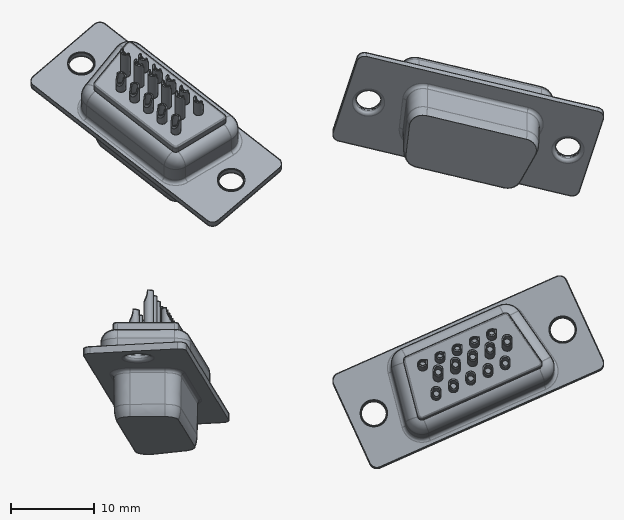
import cadquery as cq
import math


overall_height = 16.5

flange_length = 30.8
flange_width = 12.55
flange_thickness = 0.85
flange_corner_radius = 0.92
hole_spacing = 24.95
hole_diameter = 3.02
hole_underside_radius = 0.43
hole_lip_diameter = 3.3
hole_lip_height = 0.2

side_angle = 10.0
d_corner_radius = 2.0
base_fillet = 0.45

shell_front_flat = 12.9
shell_width = 10.75
shell_height = 4.15
shell_root_depth = flange_thickness / 2
shoulder_radius = 1.48
insert_top = 5.18
insert_edge_radius = 0.2

plug_front_flat = 11.03
plug_width = 8.13
plug_depth = 5.9
nose_height = 1.48
nose_arc_radius = 4.0
nose_steps = 3
plug_draft_angle = 1.0

contact_count = 5
contact_pitch = 2.28
row_pitch = 1.97
contact_diameter = 1.2
cup_bore_diameter = 0.83
cup_bore_depth = 2.0
scoop_radius = 2.28
scoop_wall_offset = 0.05
short_contact_top = 7.8
long_contact_top = overall_height - plug_depth - flange_thickness


def d_outline(front_flat, width, z, inset=0.0):
    """Rounded trapezoid, wider at +Y, drawn at height z and offset inwards by inset."""
    radius = d_corner_radius - inset
    center_y = width / 2 - d_corner_radius
    front_x = front_flat / 2
    rear_x = front_x + 2 * center_y * math.tan(math.radians(side_angle))

    def on_corner(center_x, y, angle):
        turn = math.radians(angle)
        return (center_x + radius * math.cos(turn), y + radius * math.sin(turn))

    def mirrored(point):
        return (-point[0], point[1])

    front_start, front_mid, front_end = [
        on_corner(front_x, -center_y, angle) for angle in (-90, -(90 + side_angle) / 2, -side_angle)
    ]
    rear_start, rear_mid, rear_end = [
        on_corner(rear_x, center_y, angle) for angle in (-side_angle, (90 - side_angle) / 2, 90)
    ]
    return (
        cq.Workplane("XY", origin=(0, 0, z))
        .moveTo(*mirrored(front_start))
        .lineTo(*front_start)
        .threePointArc(front_mid, front_end)
        .lineTo(*rear_start)
        .threePointArc(rear_mid, rear_end)
        .lineTo(*mirrored(rear_end))
        .threePointArc(mirrored(rear_mid), mirrored(rear_start))
        .lineTo(*mirrored(front_end))
        .threePointArc(mirrored(front_mid), mirrored(front_start))
        .close()
    )


def loft_between(outlines, ruled):
    """Solid through stacked outlines, with straight walls when ruled."""
    wires = [outline.wires().val() for outline in outlines]
    return cq.Workplane(cq.Solid.makeLoft(wires, ruled))


def make_flange():
    return (
        cq.Workplane("XY")
        .box(flange_length, flange_width, flange_thickness, centered=(True, True, False))
        .edges("|Z")
        .fillet(flange_corner_radius)
        .translate((0, 0, -flange_thickness))
    )


def make_shell():
    """D-shaped block with a rounded shoulder, rooted inside the flange."""
    block = d_outline(shell_front_flat, shell_width, -shell_root_depth)
    block = block.extrude(shell_height + shell_root_depth)
    return block.faces(">Z").edges().fillet(shoulder_radius)


def make_insert():
    """Contact carrier whose wall stands where the shell shoulder ends."""
    block = d_outline(shell_front_flat, shell_width, 0, shoulder_radius).extrude(insert_top)
    return block.faces(">Z").edges().fillet(insert_edge_radius)


def make_plug():
    """Drafted D-shaped wall that curves inwards over the nose."""
    root_z = -flange_thickness
    tip_z = root_z - plug_depth
    nose_z = tip_z + nose_height
    nose_inset = (root_z - nose_z) * math.tan(math.radians(plug_draft_angle))

    def outline(z, inset):
        return d_outline(plug_front_flat, plug_width, z, inset)

    wall = loft_between([outline(root_z, 0), outline(nose_z, nose_inset)], True)
    nose_outlines = []
    for step in range(nose_steps + 1):
        drop = nose_height * step / nose_steps
        curl = nose_arc_radius - math.sqrt(nose_arc_radius**2 - drop**2)
        nose_outlines.append(outline(nose_z - drop, nose_inset + curl))
    return wall.union(loft_between(nose_outlines, False))


def fillet_base(body, z, front_flat, width):
    """Round the inside corner where a D-shaped wall meets the flange face at height z."""
    reach_x = front_flat / 2 + width * math.tan(math.radians(side_angle)) + d_corner_radius
    reach_y = width / 2 + base_fillet
    margin = 0.003
    footprint = cq.selectors.BoxSelector(
        (-reach_x, -reach_y, z - margin), (reach_x, reach_y, z + margin), boundingbox=True
    )
    return body.edges(footprint).fillet(base_fillet)


def add_mounting_holes(body):
    """Two lipped holes whose lower rims are rounded."""
    centers = [(-hole_spacing / 2, 0), (hole_spacing / 2, 0)]
    lips = cq.Workplane("XY").pushPoints(centers).circle(hole_lip_diameter / 2).extrude(hole_lip_height)
    bore_radius = hole_diameter / 2
    flare_z = hole_underside_radius - flange_thickness
    flare_radius = bore_radius + hole_underside_radius
    diagonal = hole_underside_radius * (1 - math.sqrt(0.5))
    bore = (
        cq.Workplane("XZ")
        .moveTo(0, hole_lip_height)
        .lineTo(bore_radius, hole_lip_height)
        .lineTo(bore_radius, flare_z)
        .threePointArc(
            (bore_radius + diagonal, -flange_thickness + diagonal),
            (flare_radius, -flange_thickness),
        )
        .lineTo(0, -flange_thickness)
        .close()
        .revolve(360, (0, 0), (0, 1))
    )
    body = body.union(lips)
    for x, y in centers:
        body = body.cut(bore.translate((x, y, 0)))
    return body


def make_contact(top, open_side):
    """Pin on the Z axis with a bored cup, scooped open towards +Y (1) or -Y (-1)."""
    pin = cq.Workplane("XY").circle(contact_diameter / 2).extrude(top)
    bore = (
        cq.Workplane("XY", origin=(0, 0, top - cup_bore_depth))
        .circle(cup_bore_diameter / 2)
        .extrude(cup_bore_depth)
    )
    scoop = (
        cq.Workplane("YZ")
        .center(open_side * (scoop_wall_offset + scoop_radius), top)
        .circle(scoop_radius)
        .extrude(contact_diameter, both=True)
    )
    return pin.cut(bore).cut(scoop)


def add_contacts(body):
    """Three rows; the middle row is taller and staggered by half a pitch."""
    stagger = contact_pitch / 4
    rows = [
        (-row_pitch, stagger, short_contact_top, -1),
        (0, -stagger, long_contact_top, 1),
        (row_pitch, stagger, short_contact_top, 1),
    ]
    for row_y, row_x, top, open_side in rows:
        contact = make_contact(top, open_side)
        for index in range(contact_count):
            x = row_x + (index - (contact_count - 1) / 2) * contact_pitch
            body = body.union(contact.translate((x, row_y, 0)))
    return body


connector = make_flange().union(make_shell()).union(make_plug())
connector = fillet_base(connector, 0, shell_front_flat, shell_width)
connector = fillet_base(connector, -flange_thickness, plug_front_flat, plug_width)
connector = connector.union(make_insert())
connector = add_mounting_holes(connector)
result = add_contacts(connector)